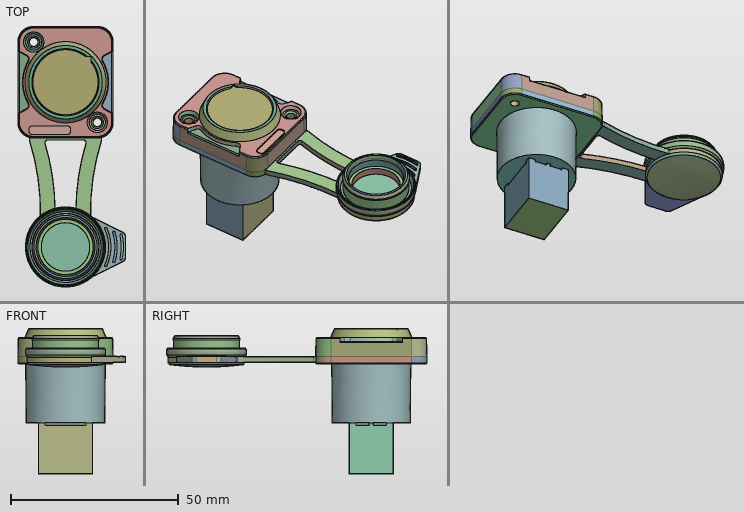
import cadquery as cq
import math

FLANGE_X = 28.45
FLANGE_Y = 33.3
FLANGE_TOP = 7.9
CORNER_RADIUS = 4.7
GASKET_TOP = 2.2
GASKET_EDGE_CHAMFER = 0.3
COVER_DRAFT = 1.5
COVER_EDGE_CHAMFER = 0.3

BEZEL_TOP = 10.6
BEZEL_BASE_RADIUS = 12.1
BEZEL_TOP_RADIUS = 11.0
RECESS_TOP_RADIUS = 10.0
RECESS_FLOOR_RADIUS = 9.7
RECESS_DEPTH = 0.4
KEY_CORNER = 7.6
KEY_SIZE = 2.3

SCREW_X = 9.5
SCREW_Y = 12.0
SCREW_HOLE_RADIUS = 2.6 / 2
SCREW_SEAT_RADIUS = 2.4
SCREW_MOUTH_RADIUS = 3.0
SCREW_SEAT_DEPTH = 0.9
SCREW_LEAD_IN = 0.55

SCALLOP_FLOOR = 6.7
SCALLOP_INNER_RADIUS = 12.8
SCALLOP_WALL_DRAFT = 8.0
SCALLOP_OUTER_Y = 9.3
SCALLOP_SLOPE = 0.55
SCALLOP_CORNER_RADIUS = 1.2
SCALLOP_EDGE_CHAMFER = 0.5

LABEL_X = -4.7
LABEL_Y = -14.3
LABEL_LENGTH = 12.4
LABEL_WIDTH = 2.5
LABEL_CORNER_RADIUS = 0.9
LABEL_DEPTH = 0.3

BARREL_TOP_RADIUS = 11.9
BARREL_BOTTOM_RADIUS = 11.7
BARREL_BOTTOM = -17.6
BLOCK_X = 16.2
BLOCK_Y = 13.2
BLOCK_BOTTOM = -32.8
VENT_HEIGHT = 0.7
VENT_CORNER_CHAMFER = 0.2
VENT_FRONT_WIDTH = 12.1
VENT_SIDE_WIDTH = 3.9
VENT_SIDE_OFFSET = 2.6

STRAP_BOTTOM = 0.5
STRAP_HEIGHT = GASKET_TOP - STRAP_BOTTOM
STRAP_ROOT_DEPTH = 2.3
STRAP_WINDOW_RADIUS = 0.8
LEG_WIDTH = 4.4
LEG_START = (10.8, -17.25)
LEG_MIDDLE = (9.0, -24.1)
LEG_END = (7.55, -41.2)

CAP_Y = -49.1
CAP_RADIUS = 12.0
CAP_BODY_RADIUS = 11.5
CAP_BODY_TOP = 1.95
CAP_NECK_RADIUS = 11.35
CAP_BASE_RADIUS = 11.0
CAP_BASE_Z = -0.2
CAP_CROWN_Z = -0.9
RIM_BOTTOM = 2.65
RIM_TOP = 4.75
RIM_BEVEL = 0.2
RIM_EDGE_RADIUS = 11.8
RIM_INNER_RADIUS = 11.3
CHANNEL_OUTER_RADIUS = 10.6
CHANNEL_FLOOR = 3.3
LIP_RADIUS = 9.9
LIP_BEAD_RADIUS = 10.0
LIP_BEAD_BOTTOM = 7.1
LIP_BEAD_TOP = 7.55
LIP_TOP = 8.5
LIP_TOP_RADIUS = 9.4
LIP_MOUTH_RADIUS = 8.8
LIP_THROAT_RADIUS = 8.5
LIP_BORE_RADIUS = 8.25
LEDGE_RADIUS = 7.2
LEDGE_Z = 4.6
CAP_FLOOR = 2.3

TAB_TIP_X = 17.95
TAB_TIP_HALF_WIDTH = 4.0
TAB_ROOT_X = 7.8
TAB_ROOT_HALF_WIDTH = 9.0
TAB_CORNER_RADIUS = 1.55
RIDGE_HEIGHT = 0.2
RIDGE_WIDTH = 0.7
RIDGE_FIRST_RADIUS = 13.2
RIDGE_PITCH = 1.9
RIDGE_HALF_LENGTHS = (5.5, 4.35, 3.5)


def cone(bottom_radius, top_radius, bottom, top):
    """Solid of revolution about Z with straight sides."""
    profile = [(0, bottom), (bottom_radius, bottom), (top_radius, top), (0, top)]
    return cq.Workplane("XZ").polyline(profile).close().revolve(360, (0, 0), (0, 1))


def box(size_x, size_y, bottom, top):
    """Upright block centred on the Z axis."""
    return cq.Workplane("XY").workplane(offset=bottom).rect(size_x, size_y).extrude(top - bottom)


def make_flange():
    gasket = box(FLANGE_X, FLANGE_Y, 0, GASKET_TOP).edges("|Z").fillet(CORNER_RADIUS)
    gasket = gasket.faces("<Z").edges().chamfer(GASKET_EDGE_CHAMFER)
    outline = cq.Sketch().rect(FLANGE_X, FLANGE_Y).vertices().fillet(CORNER_RADIUS)
    cover = (
        cq.Workplane("XY")
        .workplane(offset=GASKET_TOP)
        .placeSketch(outline)
        .extrude(FLANGE_TOP - GASKET_TOP, taper=COVER_DRAFT)
    )
    cover = cover.faces(">Z").edges().chamfer(COVER_EDGE_CHAMFER)
    return gasket.union(cover)


def make_scallop():
    """Cutter for the +X side: a flared notch that stops at an arc around the bezel."""
    half_x = FLANGE_X / 2
    inner_x = SCALLOP_INNER_RADIUS / 2
    inner_y = SCALLOP_OUTER_Y - SCALLOP_SLOPE * (half_x - inner_x)
    notch = (
        cq.Workplane("XY")
        .workplane(offset=SCALLOP_FLOOR)
        .polyline([
            (inner_x, -inner_y),
            (half_x, -SCALLOP_OUTER_Y),
            (half_x, SCALLOP_OUTER_Y),
            (inner_x, inner_y),
        ])
        .close()
        .extrude(BEZEL_TOP - SCALLOP_FLOOR)
    )
    notch = notch.cut(cone(SCALLOP_INNER_RADIUS, SCALLOP_INNER_RADIUS, 0, BEZEL_TOP))
    notch = notch.edges("|Z and (not >X)").fillet(SCALLOP_CORNER_RADIUS)
    floor_outline = notch.faces("<Z").wires()
    drafted_notch = (
        cq.Workplane("XY")
        .workplane(offset=SCALLOP_FLOOR)
        .add(floor_outline)
        .toPending()
        .extrude(BEZEL_TOP - SCALLOP_FLOOR, taper=-SCALLOP_WALL_DRAFT)
    )
    edge_bevel = (
        cq.Workplane("XZ")
        .polyline([
            (half_x - SCALLOP_EDGE_CHAMFER, SCALLOP_FLOOR),
            (half_x, SCALLOP_FLOOR - SCALLOP_EDGE_CHAMFER),
            (half_x, SCALLOP_FLOOR),
        ])
        .close()
        .extrude(SCALLOP_OUTER_Y, both=True)
    )
    return drafted_notch.union(edge_bevel)


def make_screw_hole():
    seat = FLANGE_TOP - SCREW_SEAT_DEPTH
    lead_in_radius = SCREW_HOLE_RADIUS + SCREW_LEAD_IN
    hole = cone(SCREW_HOLE_RADIUS, SCREW_HOLE_RADIUS, 0, FLANGE_TOP)
    hole = hole.union(cone(SCREW_HOLE_RADIUS, lead_in_radius, seat - SCREW_LEAD_IN, seat))
    return hole.union(cone(SCREW_SEAT_RADIUS, SCREW_MOUTH_RADIUS, seat, FLANGE_TOP))


def make_bezel_recess():
    floor = BEZEL_TOP - RECESS_DEPTH
    key_centre = KEY_CORNER - KEY_SIZE / 2
    key = box(KEY_SIZE, KEY_SIZE, floor, BEZEL_TOP).translate((key_centre, key_centre, 0))
    return cone(RECESS_FLOOR_RADIUS, RECESS_TOP_RADIUS, floor, BEZEL_TOP).union(key)


def make_label_pocket():
    pocket = box(LABEL_LENGTH, LABEL_WIDTH, FLANGE_TOP - LABEL_DEPTH, FLANGE_TOP)
    return pocket.edges("|Z").fillet(LABEL_CORNER_RADIUS).translate((LABEL_X, LABEL_Y, 0))


def make_block():
    """Connector block joined to the barrel by small posts with vents between them."""
    vent_floor = BARREL_BOTTOM - VENT_HEIGHT
    block = box(BLOCK_X, BLOCK_Y, BLOCK_BOTTOM, BARREL_BOTTOM)
    front_vent = box(VENT_FRONT_WIDTH, BLOCK_Y, vent_floor, BARREL_BOTTOM)
    block = block.cut(front_vent.edges("|Y and <Z").chamfer(VENT_CORNER_CHAMFER))
    side_vent = box(BLOCK_X, VENT_SIDE_WIDTH, vent_floor, BARREL_BOTTOM)
    side_vent = side_vent.edges("|X and <Z").chamfer(VENT_CORNER_CHAMFER)
    for side in (-1, 1):
        block = block.cut(side_vent.translate((0, side * VENT_SIDE_OFFSET, 0)))
    return block


def area_between_legs(inset):
    """Slab bounded by the two mirrored leg curves, each moved inward by inset."""
    start, middle, end = [(x - inset, y) for x, y in (LEG_START, LEG_MIDDLE, LEG_END)]
    return (
        cq.Workplane("XY")
        .workplane(offset=STRAP_BOTTOM)
        .moveTo(-start[0], start[1])
        .lineTo(*start)
        .threePointArc(middle, end)
        .lineTo(-end[0], end[1])
        .threePointArc((-middle[0], middle[1]), (-start[0], start[1]))
        .close()
        .extrude(STRAP_HEIGHT)
    )


def make_strap():
    """Two curved legs that start from a root bar tucked under the front of the cover."""
    start_x, start_y = LEG_START
    root = box(2 * start_x, STRAP_ROOT_DEPTH, STRAP_BOTTOM, GASKET_TOP)
    root = root.translate((0, start_y + STRAP_ROOT_DEPTH / 2, 0))
    window = area_between_legs(LEG_WIDTH).edges("|Z and >Y").fillet(STRAP_WINDOW_RADIUS)
    return area_between_legs(0).cut(window).union(root)


def make_cap_body():
    """Revolved cap, centred on the Z axis."""
    rim_edge = RIM_TOP - RIM_BEVEL
    rim_middle = (RIM_BOTTOM + rim_edge) / 2
    crown_middle_radius = CAP_BASE_RADIUS / 2
    crown_middle_z = CAP_CROWN_Z + (CAP_BASE_Z - CAP_CROWN_Z) / 4
    return (
        cq.Workplane("XZ")
        .moveTo(0, CAP_CROWN_Z)
        .threePointArc((crown_middle_radius, crown_middle_z), (CAP_BASE_RADIUS, CAP_BASE_Z))
        .lineTo(CAP_BODY_RADIUS, STRAP_BOTTOM)
        .lineTo(CAP_BODY_RADIUS, CAP_BODY_TOP)
        .lineTo(CAP_NECK_RADIUS, CAP_BODY_TOP)
        .lineTo(RIM_EDGE_RADIUS, RIM_BOTTOM)
        .threePointArc((CAP_RADIUS, rim_middle), (RIM_EDGE_RADIUS, rim_edge))
        .lineTo(RIM_EDGE_RADIUS - RIM_BEVEL, RIM_TOP)
        .lineTo(RIM_INNER_RADIUS, RIM_TOP)
        .lineTo(CHANNEL_OUTER_RADIUS, CHANNEL_FLOOR)
        .lineTo(LIP_RADIUS, CHANNEL_FLOOR)
        .lineTo(LIP_RADIUS, LIP_BEAD_BOTTOM)
        .lineTo(LIP_BEAD_RADIUS, LIP_BEAD_BOTTOM)
        .lineTo(LIP_BEAD_RADIUS, LIP_BEAD_TOP)
        .lineTo(LIP_TOP_RADIUS, LIP_TOP)
        .lineTo(LIP_MOUTH_RADIUS, LIP_TOP)
        .lineTo(LIP_THROAT_RADIUS, LIP_BEAD_TOP)
        .lineTo(LIP_BORE_RADIUS, LIP_BEAD_BOTTOM)
        .lineTo(LIP_BORE_RADIUS, LEDGE_Z)
        .lineTo(LEDGE_RADIUS, LEDGE_Z)
        .lineTo(LEDGE_RADIUS, CAP_FLOOR)
        .lineTo(0, CAP_FLOOR)
        .close()
        .revolve(360, (0, 0), (0, 1))
    )


def make_ridge(radius, half_length):
    """Arc-shaped grip ridge with rounded ends."""
    half_angle = math.asin(half_length / radius)
    end_angle = half_angle + RIDGE_WIDTH / 2 / radius

    def point(distance, angle):
        return (distance * math.cos(angle), distance * math.sin(angle))

    inner = radius - RIDGE_WIDTH / 2
    outer = radius + RIDGE_WIDTH / 2
    return (
        cq.Workplane("XY")
        .workplane(offset=STRAP_BOTTOM)
        .moveTo(*point(outer, -half_angle))
        .threePointArc(point(outer, 0), point(outer, half_angle))
        .threePointArc(point(radius, end_angle), point(inner, half_angle))
        .threePointArc(point(inner, 0), point(inner, -half_angle))
        .threePointArc(point(radius, -end_angle), point(outer, -half_angle))
        .close()
        .extrude(STRAP_HEIGHT + RIDGE_HEIGHT)
    )


def make_tab():
    """Tapered pull tab pointing along +X from the cap centre."""
    tab = (
        cq.Workplane("XY")
        .workplane(offset=STRAP_BOTTOM)
        .polyline([
            (TAB_ROOT_X, -TAB_ROOT_HALF_WIDTH),
            (TAB_TIP_X, -TAB_TIP_HALF_WIDTH),
            (TAB_TIP_X, TAB_TIP_HALF_WIDTH),
            (TAB_ROOT_X, TAB_ROOT_HALF_WIDTH),
        ])
        .close()
        .extrude(STRAP_HEIGHT)
    )
    tab = tab.edges("|Z and >X").fillet(TAB_CORNER_RADIUS)
    for index, half_length in enumerate(RIDGE_HALF_LENGTHS):
        tab = tab.union(make_ridge(RIDGE_FIRST_RADIUS + index * RIDGE_PITCH, half_length))
    return tab


def make_socket():
    socket = make_flange().union(cone(BEZEL_BASE_RADIUS, BEZEL_TOP_RADIUS, FLANGE_TOP, BEZEL_TOP))
    socket = socket.union(cone(BARREL_BOTTOM_RADIUS, BARREL_TOP_RADIUS, BARREL_BOTTOM, 0))
    socket = socket.union(make_block())
    scallop = make_scallop()
    socket = socket.cut(scallop).cut(scallop.mirror("YZ"))
    screw_hole = make_screw_hole()
    for side in (-1, 1):
        socket = socket.cut(screw_hole.translate((side * SCREW_X, -side * SCREW_Y, 0)))
    return socket.cut(make_bezel_recess()).cut(make_label_pocket())


def make_cap():
    return make_cap_body().union(make_tab()).translate((0, CAP_Y, 0))


result = make_socket().union(make_strap()).union(make_cap())